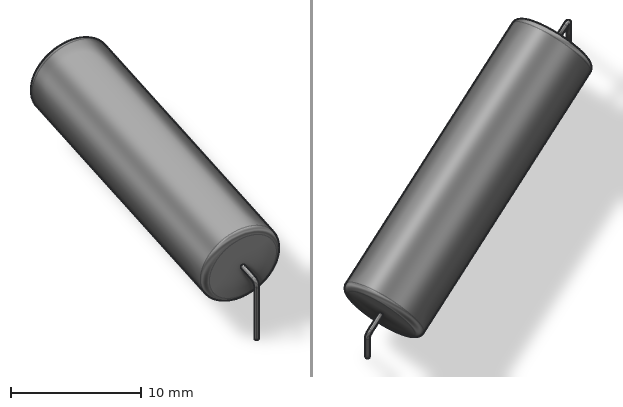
import cadquery as cq

body_length = 25.4
body_diameter = 7.1
body_edge_radius = 0.5

overall_length = 29.8
overall_height = 9.6
lead_diameter = 0.4
bend_radius = 0.45

lead_x = (overall_length - lead_diameter) / 2
lead_bottom_z = body_diameter / 2 - overall_height
face_x = body_length / 2


def make_body():
    return (
        cq.Workplane("YZ", origin=(-face_x, 0, 0))
        .circle(body_diameter / 2)
        .extrude(body_length)
        .edges("%CIRCLE")
        .fillet(body_edge_radius)
    )


def make_right_lead():
    path = (
        cq.Workplane("XZ")
        .moveTo(face_x, 0)
        .lineTo(lead_x - bend_radius, 0)
        .tangentArcPoint((lead_x, -bend_radius), relative=False)
        .lineTo(lead_x, lead_bottom_z)
    )
    wire_section = cq.Workplane("YZ", origin=(face_x, 0, 0)).circle(lead_diameter / 2)
    return wire_section.sweep(path)


right_lead = make_right_lead()
left_lead = right_lead.mirror("YZ")

result = make_body().union(right_lead).union(left_lead)